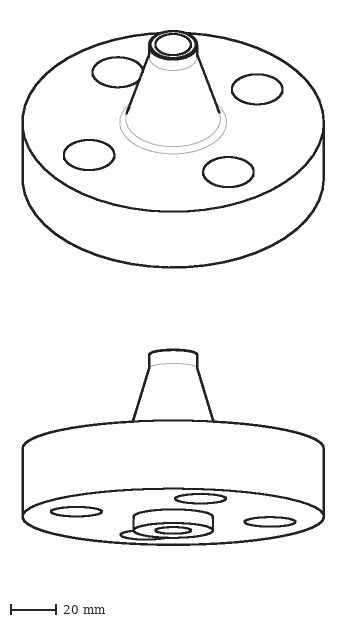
import cadquery as cq

flange_diameter = 133.3
flange_thickness = 30.7
face_height = 6.1
face_diameter = 35.0
hub_height = 42.7

hub_base_diameter = 43.0
neck_diameter = 21.3
neck_height = 6.4
hub_fillet = 2.8
bevel_width = 0.7
bevel_height = 0.4

bore_diameter = 15.7
bolt_circle_diameter = 88.9
bolt_hole_diameter = 22.4
bolt_count = 4

flange_bottom = face_height
flange_top = flange_bottom + flange_thickness
total_height = flange_top + hub_height
neck_bottom = total_height - neck_height


def make_flange():
    """Round flange plate with a smaller raised face below it."""
    face = cq.Workplane("XY").circle(face_diameter / 2).extrude(face_height)
    plate = (
        cq.Workplane("XY")
        .workplane(offset=flange_bottom)
        .circle(flange_diameter / 2)
        .extrude(flange_thickness)
    )
    return plate.union(face)


def make_hub():
    """Cone and straight neck, revolved about Z, with a weld bevel at the tip."""
    neck_radius = neck_diameter / 2
    return (
        cq.Workplane("XZ")
        .moveTo(0, flange_top)
        .lineTo(hub_base_diameter / 2, flange_top)
        .lineTo(neck_radius, neck_bottom)
        .lineTo(neck_radius, total_height - bevel_height)
        .lineTo(neck_radius - bevel_width, total_height)
        .lineTo(0, total_height)
        .close()
        .revolve(360, (0, 0, 0), (0, 1, 0))
    )


def fillet_hub_root(body):
    """Round the inside corner where the cone meets the flange."""
    half_box = hub_base_diameter / 2 + hub_fillet
    root_edges = cq.selectors.BoxSelector(
        (-half_box, -half_box, flange_top - hub_fillet),
        (half_box, half_box, flange_top + hub_fillet),
        boundingbox=True,
    )
    return body.edges(root_edges).fillet(hub_fillet)


def make_holes():
    """Central bore and the ring of bolt holes, all running right through."""
    bore = cq.Workplane("XY").circle(bore_diameter / 2).extrude(total_height)
    bolt_holes = (
        cq.Workplane("XY")
        .polarArray(bolt_circle_diameter / 2, 0, 360, bolt_count)
        .circle(bolt_hole_diameter / 2)
        .extrude(total_height)
    )
    return bore.union(bolt_holes)


body = fillet_hub_root(make_flange().union(make_hub()))
result = body.cut(make_holes())